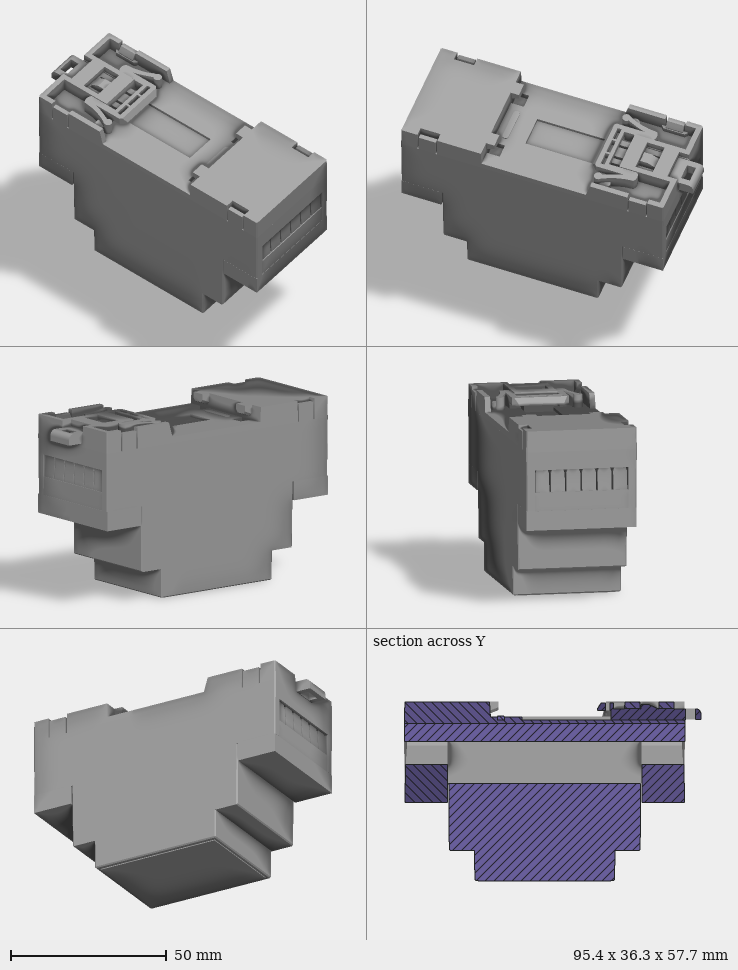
import cadquery as cq
import math

BASE_PAD_TOP = 0.3
STEM_BOTTOM = 9.9
TERMINAL_BOTTOM = 25.3
TERMINAL_TOP = 31.6
FINGER_BOTTOM = 37.6
WINDOW_TOP = 44.9
PARTING = 50.8
CHANNEL_FLOOR = 51.9
PLATE_TOP = 52.8
SPRING_BOTTOM = 53.1
BRIDGE_BOTTOM = 54.8
SLIDE_TOP = 55.5
CLIP_TOP = 56.6
LATCH_TOP = 57.3
COVER_TOP = 57.7

OVERALL_LENGTH = 95.4
LENGTH = 90.2
WIDTH = 36.3
STEM_LENGTH = 61.8
FOOT_LENGTH = 45.2
BASE_PAD_LENGTH = 42.5
BASE_PAD_WIDTH = 32.2
HOUSING_DRAFT = 0.5
COVER_DRAFT = 1.0
EDGE_BREAK = 0.4
OPENING_WIDTH = 30.7

CLIP_CENTER = 36.0
CLIP_LENGTH = 5.8
CLIP_TOP_DEPTH = 1.5
CLIP_DEPTH = 2.8
CLIP_RAMP_BOTTOM = 54.7
CLIP_SLOT_LENGTH = 6.9
CLIP_SLOT_DEPTH = 3.05
CLIP_GUARD_LENGTH = 8.8
CLIP_GUARD_CORNER = 0.8
CLIP_GUARD_TOP = 54.4

TERMINAL_OUTER = 44.9
TERMINAL_INNER = 31.2
TERMINAL_WIDTH = 36.0
RISER_SETBACK = 0.1
FINGER_COUNT = 6
FINGER_PITCH = OPENING_WIDTH / FINGER_COUNT
FINGER_GAP = 0.6
FINGER_BEVEL_WIDTH = 0.5
FINGER_BEVEL_HEIGHT = 1.3
FINGER_SETBACK_BOTTOM = 0.4
FINGER_SETBACK_TOP = 0.9

END_WALL = 1.9
SIDE_WALL = 1.9
SIDE_WALL_END_TOP = -19.8
SIDE_WALL_END_FOOT = -18.5
BLOCK_START_TOP = 17.6
BLOCK_START_FOOT = 17.4
BAR_WIDTH = 14.1
BAR_END_TOP = -25.7
BAR_END_FOOT = -25.2
NOTCH_END = -41.6
WINDOW_START = -36.6
WINDOW_END = -30.6
TUNNEL_WIDTH = 10.1
CHANNEL_WIDTH = 10.7
CHANNEL_END = 7.15
POST_X = -23.2
POST_Y = 13.2
POST_TOP = 55.3
POST_RADIUS = 1.8
HOOK_START = 14.8
HOOK_INNER_Y = 8.8
HOOK_OUTER_Y = 13.35
HOOK_TIP_BOTTOM = 54.9
HOOK_ROOT_BOTTOM = 53.8
HOOK_EDGE_BREAK = 0.9
HOOK_POCKET_START = 13.0
HOOK_POCKET_INNER_Y = 8.5

LENS_X = 14.1
LENS_LENGTH = 11.8
LENS_WIDTH = 2.1
LENS_TOP = 53.1

SLIDE_WIDTH = 9.6
SLIDE_END = -21.3
TAB_START = LENGTH / 2 - OVERALL_LENGTH
TAB_ROUND = 1.9
TAB_HOLE_START = -48.3
TAB_HOLE_END = -45.3
TAB_HOLE_WIDTH = 5.5
SLIT_START = -36.0
SLIT_INNER_Y = 1.9
SLIT_WIDTH = 1.0
CATCH_RISE_START = -36.4
CATCH_FLAT_START = -33.5
CATCH_END = -30.9
CATCH_TOP = 56.8
BRIDGE_START = -22.1
BRIDGE_END = -16.8
BRIDGE_WIDTH = 18.7
BRIDGE_CORNER = 1.9
BRIDGE_SLOPE_LENGTH = 1.2
BRIDGE_SLOPE_DROP = 2.0
BRIDGE_SLOT_START = -20.9
BRIDGE_SLOT_LENGTH = 1.3
SIDE_SLOT_INNER_Y = 3.2
SIDE_SLOT_OUTER_Y = 7.7
MIDDLE_SLOT_WIDTH = 5.1
LEG_START = -31.9
SPRING_ROOT = -28.3
SPRING_BEND = (-32.6, 8.9)
SPRING_BEND_END_Y = 10.7
SPRING_OUTER_MIDDLE = (-26.7, 11.5)
SPRING_INNER_TIP_SIDE = (-23.6, 11.1)
SPRING_INNER_ROOT_SIDE = (-25.6, 10.2)
SPRING_TIP_X = -21.3
SPRING_TIP_OUTER_Y = 13.9
SPRING_TIP_INNER_Y = 12.0
SPRING_BALL_X = -20.7
SPRING_BALL_Y = 12.8
SPRING_BALL_DIAMETER = 2.8


def box(x0, x1, y0, y1, z0, z1):
    """Box between two corners."""
    return cq.Workplane("XY").box(x1 - x0, y1 - y0, z1 - z0, centered=False).translate((x0, y0, z0))


def centered_box(x0, x1, width, z0, z1):
    """Box that is symmetric about the XZ plane."""
    return box(x0, x1, -width / 2, width / 2, z0, z1)


def side_profile(points, y0, y1):
    """Outline of (x, z) points, extruded from y0 to y1."""
    return cq.Workplane("XZ", origin=(0, y0, 0)).polyline(points).close().extrude(y0 - y1)


def both_sides(shape):
    """The shape together with its mirror image across the XZ plane."""
    return shape.union(shape.mirror("XZ"))


def drafted_block(length, bottom, top):
    """Housing block whose walls lean in towards the bottom, in line with the blocks above it."""
    width = WIDTH - 2 * (PARTING - top) * math.tan(math.radians(HOUSING_DRAFT))
    block = cq.Workplane("XY", origin=(0, 0, top)).rect(length, width)
    block = block.extrude(bottom - top, taper=HOUSING_DRAFT)
    return block.edges("not #Z").edges("not |X").edges("not |Y").chamfer(EDGE_BREAK)


def clip(x_center):
    """Snap clip on the -Y side: a tab with a ramp on its inner side."""
    outer = -WIDTH / 2
    outline = [
        (outer, PARTING),
        (outer, CLIP_TOP),
        (outer + CLIP_TOP_DEPTH, CLIP_TOP),
        (outer + CLIP_DEPTH, CLIP_RAMP_BOTTOM),
        (outer + CLIP_DEPTH, PARTING),
    ]
    plane = cq.Workplane("YZ", origin=(x_center - CLIP_LENGTH / 2, 0, 0))
    return plane.polyline(outline).close().extrude(CLIP_LENGTH)


def make_housing():
    """Stepped housing with the terminal opening and the four snap clips."""
    stem = drafted_block(STEM_LENGTH, STEM_BOTTOM, TERMINAL_TOP).faces("<Z").edges("|Y").chamfer(EDGE_BREAK)
    foot = drafted_block(FOOT_LENGTH, BASE_PAD_TOP, STEM_BOTTOM).faces("<Z").edges().chamfer(EDGE_BREAK)
    pad = centered_box(-BASE_PAD_LENGTH / 2, BASE_PAD_LENGTH / 2, BASE_PAD_WIDTH, 0, BASE_PAD_TOP)
    housing = drafted_block(LENGTH, TERMINAL_TOP, PARTING).union(stem).union(foot).union(pad)
    opening = centered_box(-LENGTH / 2, LENGTH / 2, OPENING_WIDTH, TERMINAL_TOP, WINDOW_TOP)
    housing = housing.cut(opening)
    for x_center in (-CLIP_CENTER, CLIP_CENTER):
        housing = housing.union(both_sides(clip(x_center)))
    return housing


def finger(y_center):
    """Upright finger with bevelled top corners and a front that leans back."""
    half = (FINGER_PITCH - FINGER_GAP) / 2
    outline = [
        (-half, FINGER_BOTTOM),
        (half, FINGER_BOTTOM),
        (half, WINDOW_TOP - FINGER_BEVEL_HEIGHT),
        (half - FINGER_BEVEL_WIDTH, WINDOW_TOP),
        (FINGER_BEVEL_WIDTH - half, WINDOW_TOP),
        (-half, WINDOW_TOP - FINGER_BEVEL_HEIGHT),
    ]
    plane = cq.Workplane("YZ", origin=(-TERMINAL_OUTER, y_center, 0))
    body = plane.polyline(outline).close().extrude(TERMINAL_OUTER - TERMINAL_INNER)
    lean = [
        (-TERMINAL_OUTER, FINGER_BOTTOM),
        (FINGER_SETBACK_BOTTOM - TERMINAL_OUTER, FINGER_BOTTOM),
        (FINGER_SETBACK_TOP - TERMINAL_OUTER, WINDOW_TOP),
        (-TERMINAL_OUTER, WINDOW_TOP),
    ]
    return body.cut(side_profile(lean, y_center - half, y_center + half))


def make_terminal(side):
    """Terminal block under the overhang; side is -1 for the -X end and +1 for the +X end."""
    terminal = centered_box(-TERMINAL_OUTER, -TERMINAL_INNER, TERMINAL_WIDTH, TERMINAL_BOTTOM, TERMINAL_TOP)
    riser_outer = RISER_SETBACK - TERMINAL_OUTER
    riser = centered_box(riser_outer, -TERMINAL_INNER, OPENING_WIDTH, TERMINAL_TOP, FINGER_BOTTOM)
    terminal = terminal.union(riser)
    for index in range(FINGER_COUNT):
        terminal = terminal.union(finger((index - (FINGER_COUNT - 1) / 2) * FINGER_PITCH))
    return terminal if side < 0 else terminal.mirror("YZ")


def clip_slot(x_center):
    """Slot in the -Y side of the cover that takes one clip."""
    half = CLIP_SLOT_LENGTH / 2
    outer = -WIDTH / 2
    return box(x_center - half, x_center + half, outer, outer + CLIP_SLOT_DEPTH, PARTING, COVER_TOP)


def cover_shell():
    """Drafted block with the low deck cut out, leaving the walls and the raised block."""
    shell = cq.Workplane("XY", origin=(0, 0, PARTING)).rect(LENGTH, WIDTH)
    shell = shell.extrude(COVER_TOP - PARTING, taper=COVER_DRAFT)
    shell = shell.edges("not #Z").edges("not |X").edges("not |Y").chamfer(EDGE_BREAK)
    deck = side_profile(
        [
            (SIDE_WALL_END_TOP, COVER_TOP),
            (SIDE_WALL_END_FOOT, PLATE_TOP),
            (BLOCK_START_FOOT, PLATE_TOP),
            (BLOCK_START_TOP, COVER_TOP),
        ],
        -WIDTH / 2,
        WIDTH / 2,
    )
    bay = centered_box(END_WALL - LENGTH / 2, 0, WIDTH - 2 * SIDE_WALL, PLATE_TOP, COVER_TOP)
    return shell.cut(deck).cut(bay)


def cover_bar():
    """Raised bar that bridges the slide of the latch."""
    start = END_WALL - LENGTH / 2
    outline = [
        (start, PLATE_TOP),
        (start, COVER_TOP),
        (BAR_END_TOP, COVER_TOP),
        (BAR_END_FOOT, PLATE_TOP),
    ]
    return side_profile(outline, -BAR_WIDTH / 2, BAR_WIDTH / 2)


def clip_guard():
    """Low guard with bevelled corners on the inner side of a clip slot."""
    half = CLIP_GUARD_LENGTH / 2
    outer = -WIDTH / 2
    guard = box(
        -CLIP_CENTER - half,
        -CLIP_CENTER + half,
        outer + SIDE_WALL,
        outer + CLIP_SLOT_DEPTH,
        PLATE_TOP,
        CLIP_GUARD_TOP,
    )
    return guard.faces(">Y").edges("|Z").chamfer(CLIP_GUARD_CORNER).cut(clip(-CLIP_CENTER))


def post():
    """Stop post on the -Y side, relieved where the spring of the latch lies over it."""
    plane = cq.Workplane("XY", origin=(POST_X, -POST_Y, PLATE_TOP))
    body = plane.circle(POST_RADIUS).extrude(POST_TOP - PLATE_TOP)
    return body.cut(latch_spring().mirror("XZ"))


def hook():
    """Hook reaching out of the raised block over its pocket."""
    outline = [
        (HOOK_START, HOOK_TIP_BOTTOM),
        (HOOK_START, COVER_TOP),
        (BLOCK_START_TOP, COVER_TOP),
        (BLOCK_START_TOP, HOOK_ROOT_BOTTOM),
    ]
    body = side_profile(outline, -HOOK_OUTER_Y, -HOOK_INNER_Y)
    return body.edges("not (|X or |Y or |Z)").chamfer(HOOK_EDGE_BREAK)


def lens_outline(z):
    """Rounded slot outline shared by the lens and its recess."""
    return cq.Workplane("XY", origin=(LENS_X, 0, z)).slot2D(LENS_LENGTH, LENS_WIDTH, 90)


def make_cover():
    """Cover with the guide of the latch, the lens recess, the hook pockets and the clip slots."""
    cover = cover_shell().union(cover_bar())
    for detail in (post(), hook()):
        cover = cover.union(both_sides(detail))
    end = -LENGTH / 2
    cuts = [
        centered_box(end, NOTCH_END, CHANNEL_WIDTH, SLIDE_TOP, COVER_TOP),
        centered_box(end, BAR_END_FOOT, TUNNEL_WIDTH, CHANNEL_FLOOR, SLIDE_TOP),
        centered_box(WINDOW_START, WINDOW_END, CHANNEL_WIDTH, SLIDE_TOP, COVER_TOP),
        centered_box(BAR_END_FOOT, CHANNEL_END, CHANNEL_WIDTH, CHANNEL_FLOOR, PLATE_TOP),
        lens_outline(CHANNEL_FLOOR).extrude(PLATE_TOP - CHANNEL_FLOOR),
        both_sides(
            box(
                HOOK_POCKET_START,
                BLOCK_START_FOOT,
                -HOOK_OUTER_Y,
                -HOOK_POCKET_INNER_Y,
                PARTING,
                PLATE_TOP,
            )
        ),
        both_sides(clip_slot(-CLIP_CENTER)),
        both_sides(clip_slot(CLIP_CENTER)),
    ]
    for cutter in cuts:
        cover = cover.cut(cutter)
    return cover.union(both_sides(clip_guard()))


def make_lens():
    """Indicator lens that stands slightly above the deck."""
    return lens_outline(CHANNEL_FLOOR).extrude(LENS_TOP - CHANNEL_FLOOR)


def latch_slide():
    """Sliding plate with the pull tab, two slits and the catch on the tongue between them."""
    slide = centered_box(TAB_START, SLIDE_END, SLIDE_WIDTH, CHANNEL_FLOOR, SLIDE_TOP)
    slide = slide.faces("<X").edges(">Z").fillet(TAB_ROUND)
    slide = slide.cut(centered_box(TAB_HOLE_START, TAB_HOLE_END, TAB_HOLE_WIDTH, CHANNEL_FLOOR, SLIDE_TOP))
    slit = box(
        SLIT_START,
        BRIDGE_START,
        SLIT_INNER_Y,
        SLIT_INNER_Y + SLIT_WIDTH,
        CHANNEL_FLOOR,
        SLIDE_TOP,
    )
    catch_outline = [
        (CATCH_RISE_START, SLIDE_TOP),
        (CATCH_FLAT_START, CATCH_TOP),
        (CATCH_END, CATCH_TOP),
        (CATCH_END, SLIDE_TOP),
    ]
    catch = side_profile(catch_outline, -SLIT_INNER_Y, SLIT_INNER_Y)
    return slide.cut(both_sides(slit)).union(catch)


def latch_bridge():
    """Cross piece with a sloped front, bevelled corners and three slots."""
    bridge = centered_box(BRIDGE_START, BRIDGE_END, BRIDGE_WIDTH, BRIDGE_BOTTOM, LATCH_TOP)
    bridge = bridge.faces(">X").edges("|Z").chamfer(BRIDGE_CORNER)
    slope = [
        (BRIDGE_END - BRIDGE_SLOPE_LENGTH, LATCH_TOP),
        (BRIDGE_END, LATCH_TOP),
        (BRIDGE_END, LATCH_TOP - BRIDGE_SLOPE_DROP),
    ]
    bridge = bridge.cut(side_profile(slope, -BRIDGE_WIDTH / 2, BRIDGE_WIDTH / 2))
    slot_end = BRIDGE_SLOT_START + BRIDGE_SLOT_LENGTH
    side_slot = box(
        BRIDGE_SLOT_START,
        slot_end,
        SIDE_SLOT_INNER_Y,
        SIDE_SLOT_OUTER_Y,
        BRIDGE_BOTTOM,
        LATCH_TOP,
    )
    middle_slot = centered_box(BRIDGE_SLOT_START, slot_end, MIDDLE_SLOT_WIDTH, BRIDGE_BOTTOM, LATCH_TOP)
    return bridge.cut(both_sides(side_slot)).cut(middle_slot)


def latch_spring():
    """Leg beside the bar on the +Y side, folding back into a curved spring with a round tip."""
    leg_inner = BAR_WIDTH / 2
    leg_outer = BRIDGE_WIDTH / 2
    height = LATCH_TOP - SPRING_BOTTOM
    spring_inner_flank = [SPRING_INNER_TIP_SIDE, SPRING_INNER_ROOT_SIDE, (SPRING_ROOT, leg_outer)]
    arm = (
        cq.Workplane("XY", origin=(0, 0, SPRING_BOTTOM))
        .moveTo(BRIDGE_START, leg_inner)
        .lineTo(LEG_START, leg_inner)
        .threePointArc(SPRING_BEND, (LEG_START, SPRING_BEND_END_Y))
        .spline([SPRING_OUTER_MIDDLE, (SPRING_TIP_X, SPRING_TIP_OUTER_Y)], includeCurrent=True)
        .lineTo(SPRING_TIP_X, SPRING_TIP_INNER_Y)
        .spline(spring_inner_flank, includeCurrent=True)
        .lineTo(BRIDGE_START, leg_outer)
        .close()
        .extrude(height)
    )
    ball = cq.Workplane("XY", origin=(SPRING_BALL_X, SPRING_BALL_Y, SPRING_BOTTOM))
    return arm.union(ball.circle(SPRING_BALL_DIAMETER / 2).extrude(height))


def make_latch():
    """Sliding latch: slide, bridge and two springs."""
    return latch_slide().union(latch_bridge()).union(both_sides(latch_spring()))


housing = make_housing()
cover = make_cover()
latch = make_latch()
lens = make_lens()
terminals = [make_terminal(side) for side in (-1, 1)]

bodies = [housing, cover, latch, lens, *terminals]

result = cq.Compound.makeCompound([body.solids().val() for body in bodies])